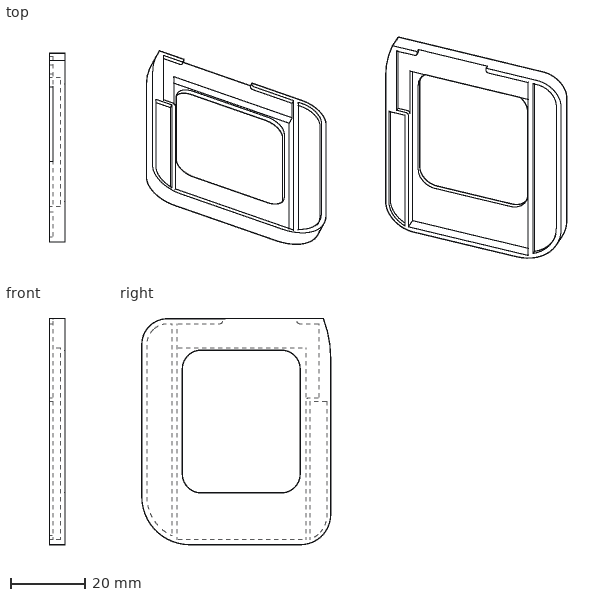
import cadquery as cq
import math

thickness = 4.25
width = 51.0
height = 61.0
peak_rise = 0.07
peak_inset = 2.0
flank_radius = 30.0
top_radius = 7.0
bottom_radius = 13.0
heel_radius = 8.2

wall = 1.4
rib = 1.0

shallow_depth = 1.0
deep_depth = 3.0

deep_y_max = 44.35
deep_z_max = 53.1

side_y_max = 8.15
deep_y_min = side_y_max + wall

shallow_y_max = 47.75
shallow_z_min = 39.65
notch_y_min = 21.8
notch_y_max = 41.85
rim_round = 0.75

window_y_min = 11.0
window_y_max = 42.7
window_z_min = 14.05
window_z_max = 52.45
window_radius = 5.0


def circle_point(center_y, center_z, radius, angle):
    """Point on a circle, with the angle in degrees from +Y towards +Z."""
    turn = math.radians(angle)
    return center_y + radius * math.cos(turn), center_z + radius * math.sin(turn)


def block(y_min, y_max, z_min, z_max, depth):
    """Box sunk from the open face to the given depth."""
    return cq.Workplane("XY").box(depth, y_max - y_min, z_max - z_min, centered=False).translate(
        (0, y_min, z_min)
    )


def plate():
    """Plain plate with its four different corners."""
    peak_z = height + peak_rise
    flank_y = width - flank_radius
    flank_drop = math.sqrt(flank_radius**2 - (flank_radius - peak_inset) ** 2)
    flank_z = peak_z - flank_drop
    flank_half_angle = math.degrees(math.asin(flank_drop / flank_radius)) / 2
    return (
        cq.Workplane("YZ")
        .moveTo(bottom_radius, 0)
        .lineTo(width - heel_radius, 0)
        .threePointArc(
            circle_point(width - heel_radius, heel_radius, heel_radius, -45), (width, heel_radius)
        )
        .lineTo(width, flank_z)
        .threePointArc(
            circle_point(flank_y, flank_z, flank_radius, flank_half_angle), (width - peak_inset, peak_z)
        )
        .lineTo(top_radius, height)
        .threePointArc(
            circle_point(top_radius, height - top_radius, top_radius, 135), (0, height - top_radius)
        )
        .lineTo(0, bottom_radius)
        .threePointArc(
            circle_point(bottom_radius, bottom_radius, bottom_radius, 225), (bottom_radius, 0)
        )
        .close()
        .extrude(thickness)
    )


def shallow_recess():
    """Shallow step around the deep recess, with rounded rim ends at its openings."""
    rim_z = height - wall
    above_top = height + wall
    return (
        cq.Workplane("YZ")
        .moveTo(deep_y_min, deep_z_max)
        .lineTo(deep_y_min, rim_z)
        .lineTo(notch_y_min - rim_round, rim_z)
        .threePointArc(
            circle_point(notch_y_min - rim_round, rim_z + rim_round, rim_round, -45),
            (notch_y_min, rim_z + rim_round),
        )
        .lineTo(notch_y_min, above_top)
        .lineTo(notch_y_max, above_top)
        .lineTo(notch_y_max, rim_z + rim_round)
        .threePointArc(
            circle_point(notch_y_max + rim_round, rim_z + rim_round, rim_round, 225),
            (notch_y_max + rim_round, rim_z),
        )
        .lineTo(shallow_y_max, rim_z)
        .lineTo(shallow_y_max, shallow_z_min)
        .lineTo(deep_y_max + rim_round, shallow_z_min)
        .threePointArc(
            circle_point(deep_y_max + rim_round, shallow_z_min - rim_round, rim_round, 135),
            (deep_y_max, shallow_z_min - rim_round),
        )
        .lineTo(deep_y_max, deep_z_max)
        .close()
        .extrude(shallow_depth)
    )


def deep_recess():
    """Rectangular recess below the shallow step."""
    return block(deep_y_min, deep_y_max, wall, deep_z_max, deep_depth)


def side_recess():
    """Shallow recess along the -Y side, its rounded corners concentric with the outline."""
    inner_bottom = bottom_radius - wall
    inner_top = top_radius - wall
    rounded = (
        block(wall, width, wall, height - wall, shallow_depth)
        .edges("|X and <Y and <Z")
        .fillet(inner_bottom)
        .edges("|X and <Y and >Z")
        .fillet(inner_top)
    )
    return rounded.intersect(block(0, side_y_max, 0, height, shallow_depth))


def heel_recess():
    """Shallow recess along the lower +Y side, its rounded corner concentric with the outline."""
    rounded = (
        block(0, width - rib, rib, shallow_z_min - rib, shallow_depth)
        .edges("|X and >Y and <Z")
        .fillet(heel_radius - rib)
    )
    return rounded.intersect(block(deep_y_max + rib, width, 0, height, shallow_depth))


def window():
    """Rounded rectangular opening through the whole plate."""
    opening = block(window_y_min, window_y_max, window_z_min, window_z_max, thickness)
    return opening.edges("|X").fillet(window_radius)


result = plate()
for cutter in (shallow_recess(), deep_recess(), side_recess(), heel_recess(), window()):
    result = result.cut(cutter)